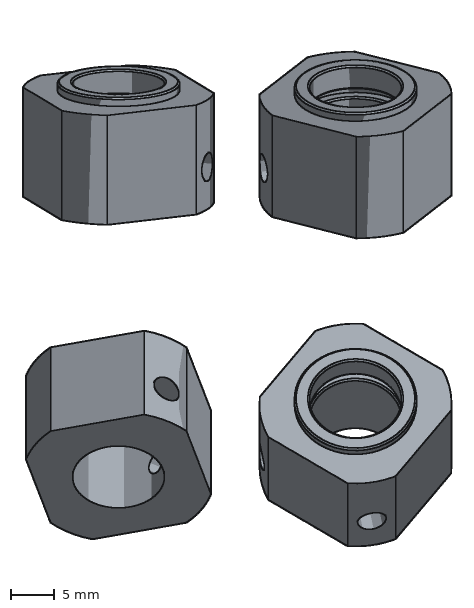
import cadquery as cq

body_width = 19.0
corner_diameter = 22.0
body_height = 13.0
collar_diameter = 14.0
collar_height = 1.0
edge_chamfer = 0.2
bore_diameter = 10.5
groove_diameter = 13.0
groove_floor = 10.0
groove_height = 1.0
hole_diameter = 3.3
hole_height = 5.0
hole_angles = (45, 135)

total_height = body_height + collar_height


def make_body():
    """Square block with its corners turned to a cylinder, plus the collar."""
    block = cq.Workplane("XY").rect(body_width, body_width).extrude(body_height)
    turned = cq.Workplane("XY").circle(corner_diameter / 2).extrude(body_height)
    collar = (
        cq.Workplane("XY")
        .circle(collar_diameter / 2)
        .extrude(total_height)
        .faces(">Z")
        .chamfer(edge_chamfer)
    )
    return block.intersect(turned).union(collar)


def make_bore():
    """Revolved cutter: bore, ring groove and the chamfers at their edges."""
    bore_radius = bore_diameter / 2
    chamfer_radius = bore_radius + edge_chamfer
    groove_radius = groove_diameter / 2
    groove_top = groove_floor + groove_height
    profile = [
        (0, 0),
        (bore_radius, 0),
        (bore_radius, groove_floor - edge_chamfer),
        (chamfer_radius, groove_floor),
        (groove_radius, groove_floor),
        (groove_radius, groove_top),
        (chamfer_radius, groove_top),
        (bore_radius, groove_top + edge_chamfer),
        (bore_radius, total_height - edge_chamfer),
        (chamfer_radius, total_height),
        (0, total_height),
    ]
    return cq.Workplane("XZ").polyline(profile).close().revolve(360, (0, 0), (0, 1))


def make_radial_hole(angle):
    """Cutter running from the axis out through the corner at the given angle."""
    return (
        cq.Workplane("YZ")
        .center(0, hole_height)
        .circle(hole_diameter / 2)
        .extrude(corner_diameter)
        .rotate((0, 0, 0), (0, 0, 1), angle)
    )


result = make_body().cut(make_bore())
for hole_angle in hole_angles:
    result = result.cut(make_radial_hole(hole_angle))